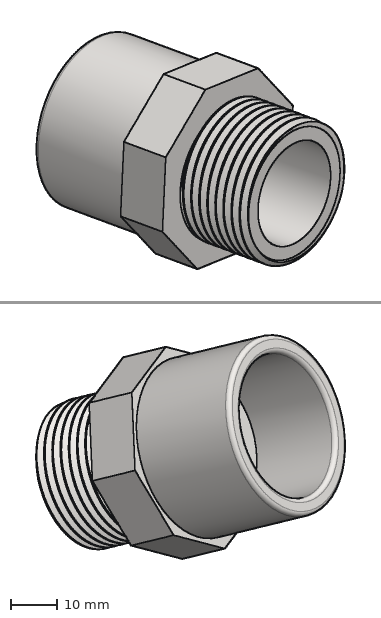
import cadquery as cq
import math

total_length = 57.0
collar_start = 26.0
collar_end = 37.95

socket_outer_diameter = 40.0
socket_bore_diameter = 32.0
socket_depth = 22.0
rim_fillet = 1.0
through_bore_diameter = 24.0

collar_sides = 8
collar_corner_diameter = 45.55
collar_turn = 18.9

core_diameter = 30.2
thread_diameter = 33.2
crest_count = 8
crest_span = 18.45
thread_pitch = crest_span / crest_count
ridge_base_width = 1.95
ridge_crest_width = 0.35
root_overlap = 0.2
spare_turns = 2
first_crest = 39.05

core_radius = core_diameter / 2
thread_radius = thread_diameter / 2


def rod(diameter, start, end):
    """Solid cylinder on the X axis between two stations."""
    return cq.Workplane("YZ", origin=(start, 0, 0)).circle(diameter / 2).extrude(end - start)


def make_collar():
    """Octagonal prism turned about the X axis."""
    radius = collar_corner_diameter / 2
    corners = []
    for side in range(collar_sides):
        angle = math.radians(collar_turn + side * 360 / collar_sides)
        corners.append((-radius * math.sin(angle), radius * math.cos(angle)))
    plane = cq.Workplane("YZ", origin=(collar_start, 0, 0))
    return plane.polyline(corners).close().extrude(collar_end - collar_start)


def make_fitting():
    """Socket, collar and plain core, with the socket bore and the through bore."""
    socket = rod(socket_outer_diameter, 0, collar_start)
    core = rod(core_diameter, collar_end, total_length)
    fitting = socket.union(make_collar()).union(core)
    fitting = fitting.cut(rod(through_bore_diameter, 0, total_length))
    fitting = fitting.cut(rod(socket_bore_diameter, 0, socket_depth))
    return fitting.faces("<X").edges().fillet(rim_fillet)


def make_thread():
    """Right-handed helical ridge wound on the core, trimmed flush at both ends."""
    start = first_crest - spare_turns * thread_pitch
    turns = math.ceil((total_length - start) / thread_pitch) + spare_turns
    helix = cq.Wire.makeHelix(
        thread_pitch, turns * thread_pitch, core_radius, cq.Vector(start, 0, 0), cq.Vector(1, 0, 0)
    )
    flank_slope = (ridge_base_width - ridge_crest_width) / 2 / (thread_radius - core_radius)
    half_foot = ridge_base_width / 2 + flank_slope * root_overlap
    half_crest = ridge_crest_width / 2
    foot_radius = core_radius - root_overlap
    begin = helix.startPoint()
    plane = cq.Plane(
        origin=(start, 0, 0),
        xDir=(0, begin.y, begin.z),
        normal=cq.Vector(0, begin.y, begin.z).cross(cq.Vector(1, 0, 0)),
    )
    section = (
        cq.Workplane(plane)
        .moveTo(foot_radius, -half_foot)
        .lineTo(thread_radius, -half_crest)
        .lineTo(thread_radius, half_crest)
        .lineTo(foot_radius, half_foot)
        .close()
    )
    ridge = section.sweep(cq.Workplane(obj=helix), isFrenet=True)
    to_top = math.degrees(math.atan2(begin.y, begin.z))
    ridge = ridge.rotate((0, 0, 0), (1, 0, 0), to_top)
    ridge = ridge.intersect(rod(thread_diameter + thread_pitch, collar_end, total_length))
    return ridge.cut(rod(core_diameter, collar_end, total_length))


fitting = make_fitting()
thread = make_thread()
result = cq.Compound.makeCompound([fitting.val(), *thread.solids().vals()])